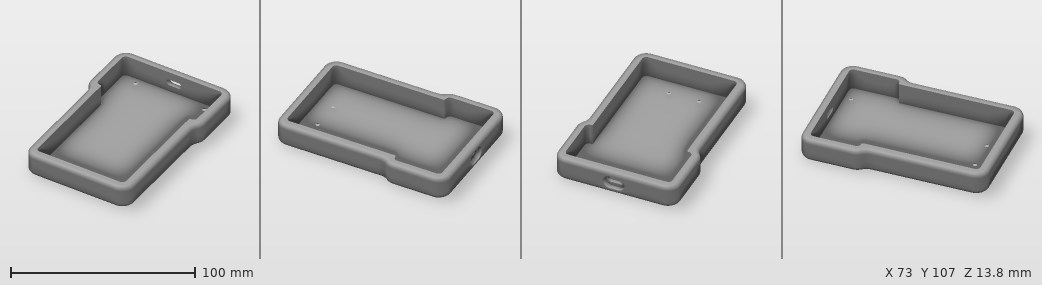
import cadquery as cq
import math

length = 107.0
head_width = 73.0
grip_width = 66.2
height = 13.8
corner_radius = 7.5
edge_radius = 2.5
head_straight_end = 31.9

floor_thickness = 1.0
end_wall = 5.0
cavity_head_width = 63.3
cavity_grip_width = 56.1
cavity_corner_radius = 2.5
cavity_neck_radius = 1.0
cavity_ledge = 34.1

hole_diameter = 2.1
countersink_half_angle = 45.0
head_hole_spacing = 43.9
head_hole_inset = 9.0
grip_hole_spacing = 18.1
grip_hole_inset = 14.4

port_width = 9.4
port_height = 3.7
port_z = height / 2
plug_recess_width = 12.8
plug_recess_height = 8.0
plug_recess_depth = 3.0

back_y = length / 2
front_y = -length / 2


def make_body():
    """Rounded slab whose wide head blends into the grip through S-shaped shoulders."""
    head_x = head_width / 2
    grip_x = grip_width / 2
    shoulder_step = head_x - grip_x
    turn = math.acos(1 - shoulder_step / (2 * corner_radius))
    arc_drop = corner_radius * math.sin(turn)
    shoulder_top = back_y - head_straight_end
    shoulder_middle = shoulder_top - arc_drop
    shoulder_bottom = shoulder_middle - arc_drop
    middle_x = (head_x + grip_x) / 2
    outline = (
        cq.Workplane("XY")
        .moveTo(0, back_y)
        .lineTo(head_x - corner_radius, back_y)
        .radiusArc((head_x, back_y - corner_radius), corner_radius)
        .lineTo(head_x, shoulder_top)
        .radiusArc((middle_x, shoulder_middle), corner_radius)
        .radiusArc((grip_x, shoulder_bottom), -corner_radius)
        .lineTo(grip_x, front_y + corner_radius)
        .radiusArc((grip_x - corner_radius, front_y), corner_radius)
        .lineTo(0, front_y)
        .mirrorY()
    )
    return outline.extrude(height).faces("<Z or >Z").edges().fillet(edge_radius)


def make_cavity():
    """Open-topped pocket with a wide head and a narrower grip."""
    head_x = cavity_head_width / 2
    grip_x = cavity_grip_width / 2
    top_y = back_y - end_wall
    bottom_y = front_y + end_wall
    ledge_y = back_y - cavity_ledge
    outline = (
        cq.Workplane("XY", origin=(0, 0, floor_thickness))
        .moveTo(0, top_y)
        .lineTo(head_x - cavity_corner_radius, top_y)
        .radiusArc((head_x, top_y - cavity_corner_radius), cavity_corner_radius)
        .lineTo(head_x, ledge_y + cavity_corner_radius)
        .radiusArc((head_x - cavity_corner_radius, ledge_y), cavity_corner_radius)
        .lineTo(grip_x + cavity_neck_radius, ledge_y)
        .radiusArc((grip_x, ledge_y - cavity_neck_radius), -cavity_neck_radius)
        .lineTo(grip_x, bottom_y + cavity_corner_radius)
        .radiusArc((grip_x - cavity_corner_radius, bottom_y), cavity_corner_radius)
        .lineTo(0, bottom_y)
        .mirrorY()
    )
    return outline.extrude(height - floor_thickness)


def make_floor_holes():
    """Two pairs of screw holes, countersunk from below through the whole floor."""
    top_radius = hole_diameter / 2
    flare = floor_thickness * math.tan(math.radians(countersink_half_angle))
    head_y = back_y - head_hole_inset
    grip_y = front_y + grip_hole_inset
    centers = []
    for spacing, y in ((head_hole_spacing, head_y), (grip_hole_spacing, grip_y)):
        centers += [(-spacing / 2, y), (spacing / 2, y)]
    return (
        cq.Workplane("XY")
        .pushPoints(centers)
        .circle(top_radius + flare)
        .extrude(floor_thickness, taper=countersink_half_angle)
    )


def make_wall_slot(width, slot_height, depth):
    """Round-ended slot cut inward from the +Y face."""
    return (
        cq.Workplane("XZ", origin=(0, back_y, port_z))
        .slot2D(width, slot_height)
        .extrude(depth)
    )


port = make_wall_slot(port_width, port_height, end_wall)
plug_recess = make_wall_slot(plug_recess_width, plug_recess_height, plug_recess_depth)

result = (
    make_body()
    .cut(make_cavity())
    .cut(make_floor_holes())
    .cut(port)
    .cut(plug_recess)
)